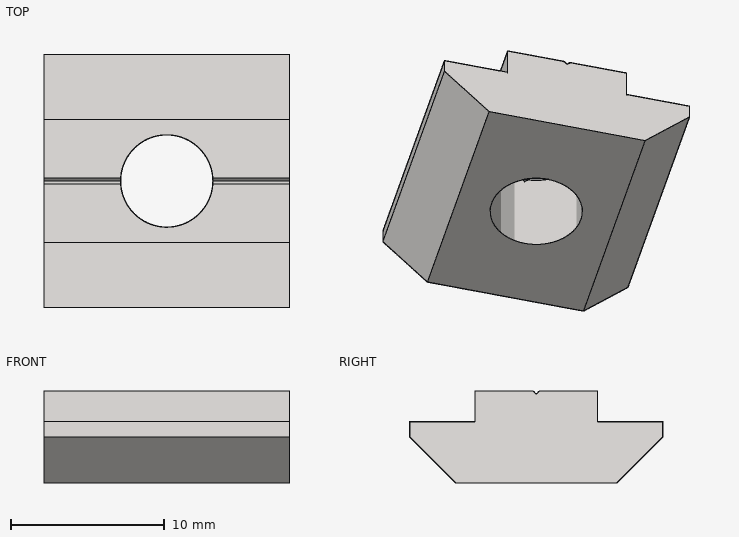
import cadquery as cq

length = 16.0
flange_width = 16.5
height = 6.0

neck_width = 8.0
neck_height = 2.0
flange_edge_height = 1.0
taper_height = height - neck_height - flange_edge_height
base_width = flange_width - 2 * taper_height

hole_diameter = 6.0
groove_width = 0.4
groove_depth = groove_width / 2


def make_body():
    """T-slot nut profile in the YZ plane, extruded along X and centred on the origin."""
    shoulder_z = height - neck_height
    half_profile = [
        (0, 0),
        (base_width / 2, 0),
        (flange_width / 2, taper_height),
        (flange_width / 2, shoulder_z),
        (neck_width / 2, shoulder_z),
        (neck_width / 2, height),
        (groove_width / 2, height),
        (0, height - groove_depth),
    ]
    half = cq.Workplane("YZ").polyline(half_profile).mirrorY()
    return half.extrude(length / 2, both=True)


def make_hole():
    """Vertical through hole at the centre of the nut."""
    return cq.Workplane("XY").circle(hole_diameter / 2).extrude(height)


result = make_body().cut(make_hole())